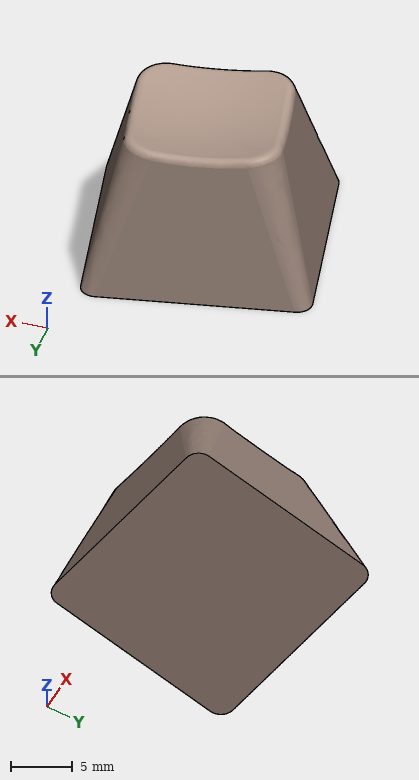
import cadquery as cq

turn_angle = 10.0
base_side = 19.05
base_corner = 1.32
upper_side = 12.4
upper_corner = 2.75
taper_height = 13.43
dish_radius = 29.45
dish_bottom = 11.63
rim_fillet = 0.65


def rounded_square(side, corner, height):
    """Rounded square section at the given height."""
    return cq.Sketch().rect(side, side).vertices().fillet(corner).moved(
        cq.Location(cq.Vector(0, 0, height))
    )


def tapered_body():
    """Solid with flat sloping sides and corners that widen towards the top."""
    return cq.Workplane("XY").placeSketch(
        rounded_square(base_side, base_corner, 0),
        rounded_square(upper_side, upper_corner, taper_height),
    ).loft(ruled=True)


def dish_sphere():
    """Sphere that hollows the top face."""
    return cq.Workplane("XY").sphere(dish_radius).translate((0, 0, dish_bottom + dish_radius))


body = tapered_body().cut(dish_sphere())
body = body.faces(">Z").edges().fillet(rim_fillet)
result = body.rotate((0, 0, 0), (0, 0, 1), turn_angle)